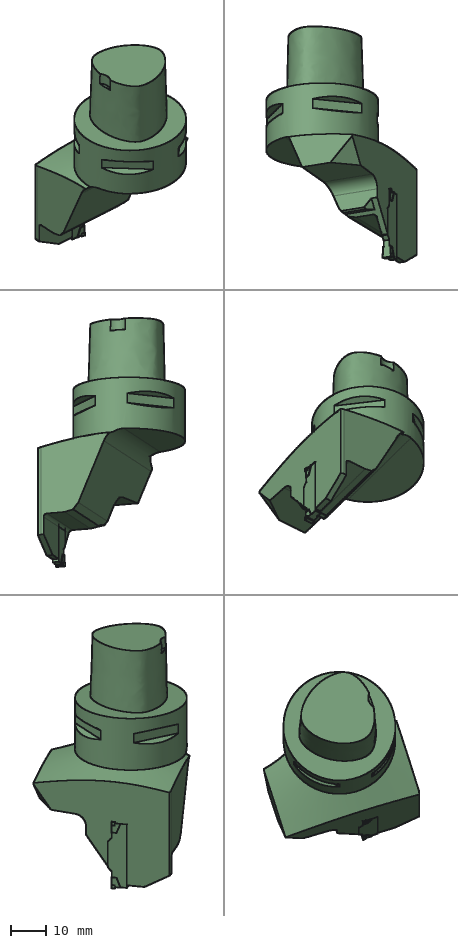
import cadquery as cq
import math


shank_length = 18.85
base_radius = 11.005
base_lobe = 0.86
top_radius = 10.5
top_lobe = 0.75
section_points = 24
key_radius = 3.485
key_depth = 3.3
key_bottom_y = -8.8

flange_radius = 16.0
flange_bottom = -15.9
groove_count = 4
groove_z = -6.1
groove_floor_distance = 14.2
groove_floor_height = 2.75
groove_mouth_height = 4.4

side_x = -21.6
front_y = -17.25
back_y = 23.1
cone_angle = 15.5
clearance_z = -15.0
clearance_radius = 6.0
slope_top_x = 0.1
slope_foot = (-9.25, -36.0)
heel = (-10.8, -37.95)
heel_start_x = -13.3
head_bottom = -38.5
blade_thickness = 1.85
blade_inner_x = side_x + blade_thickness
blade_bottom = -48.9
root_radius = 1.0
back_bottom = -27.6
step_y = 7.6
step_top = -28.7
step_radius = 3.485
step_foot_z = -36.9
step_foot_y = 7.05
step_bottom = -37.4
blade_edge_top = -34.6
blade_edge_foot = (1.1, -43.7)
front_bevel_top = -44.6
front_bevel_foot_y = -9.65
edge_break_x = 0.9
edge_break_y = 0.2
bevel_tilt = 60
upper_bevel = ((23.1, -20.6), (17.9, -27.95))
lower_bevel = ((step_y, blade_edge_top), blade_edge_foot)

insert_middle = -39.95
insert_half_length = 10.2
insert_front_y = -4.5
insert_back_y = 0.0
insert_belly_y = 1.1
belly_half_height = 4.0
notch_half_height = 5.2
end_relief = 0.4
lip_depth = 1.05
edge_overhang = 0.4
edge_height = 1.05
pad_overhang = 0.2
pad_height = 3.3
pad_short_y = -1.45
pad_long_y = -2.6

far = 41.4


def lobed_section(radius, lobe):
    """Points of a constant-width three-lobed curve with one lobe on +Y."""
    points = []
    for i in range(section_points):
        angle = 2 * math.pi * i / section_points
        phase = 3 * (angle - math.pi / 2)
        reach = radius + lobe * math.cos(phase)
        slope = -3 * lobe * math.sin(phase)
        points.append((
            reach * math.cos(angle) - slope * math.sin(angle),
            reach * math.sin(angle) + slope * math.cos(angle),
        ))
    return points


def make_shank():
    shank = (
        cq.Workplane("XY")
        .spline(lobed_section(base_radius, base_lobe), periodic=True).close()
        .workplane(offset=shank_length)
        .spline(lobed_section(top_radius, top_lobe), periodic=True).close()
        .loft(ruled=True)
    )
    key = (
        cq.Workplane("XY", origin=(0, key_bottom_y - key_radius, shank_length - key_depth))
        .circle(key_radius).extrude(key_depth)
    )
    return shank.cut(key)


def make_groove(angle):
    """Gripper groove with sloping walls and a flat floor, cut straight across the rim."""
    wall_slope = (groove_mouth_height - groove_floor_height) / (2 * (flange_radius - groove_floor_distance))
    outer = flange_radius + 0.7
    floor_half = groove_floor_height / 2
    outer_half = floor_half + wall_slope * (outer - groove_floor_distance)
    return (
        cq.Workplane("XZ")
        .polyline([
            (groove_floor_distance, groove_z - floor_half),
            (outer, groove_z - outer_half),
            (outer, groove_z + outer_half),
            (groove_floor_distance, groove_z + floor_half),
        ]).close()
        .extrude(flange_radius, both=True)
        .rotate((0, 0, 0), (0, 0, 1), angle)
    )


def make_flange():
    flange = cq.Workplane("XY").circle(flange_radius).extrude(flange_bottom)
    for i in range(groove_count):
        flange = flange.cut(make_groove((i + 0.5) * 360 / groove_count))
    return flange


def front_outline():
    """Outline in XZ shared by flange and head, with the rounded clearance at +X."""
    rise = math.atan2(clearance_z - slope_foot[1], slope_top_x - slope_foot[0])
    tangent = clearance_radius * math.tan(rise / 2)
    arc_middle = (
        slope_top_x + tangent - clearance_radius * math.sin(rise / 2),
        clearance_z - clearance_radius * (1 - math.cos(rise / 2)),
    )
    root_middle = root_radius * (1 - math.sqrt(0.5))
    return (
        cq.Workplane("XZ")
        .moveTo(side_x, 0)
        .lineTo(far, 0)
        .lineTo(far, clearance_z)
        .lineTo(slope_top_x + tangent, clearance_z)
        .threePointArc(
            arc_middle,
            (slope_top_x - tangent * math.cos(rise), clearance_z - tangent * math.sin(rise)),
        )
        .lineTo(*slope_foot)
        .lineTo(*heel)
        .lineTo(heel_start_x, head_bottom)
        .lineTo(blade_inner_x + root_radius, head_bottom)
        .threePointArc(
            (blade_inner_x + root_middle, head_bottom - root_middle),
            (blade_inner_x, head_bottom - root_radius),
        )
        .lineTo(blade_inner_x, blade_bottom)
        .lineTo(side_x, blade_bottom)
        .close()
        .extrude(far, both=True)
    )


def side_outline():
    """Head outline in YZ: overhang at the back, stepped and tapering to the blade."""
    (edge_y, edge_z), (foot_y, foot_z) = lower_bevel
    blade_edge_y = edge_y + (foot_y - edge_y) * (step_bottom - edge_z) / (foot_z - edge_z)
    return (
        cq.Workplane("YZ", origin=(side_x, 0, 0))
        .polyline([
            (front_y, 0),
            (back_y, 0),
            (back_y, back_bottom),
            (step_y, step_top),
            (step_y, step_foot_z),
            (step_foot_y, step_bottom),
            (blade_edge_y, step_bottom),
            blade_edge_foot,
            (insert_back_y, blade_edge_foot[1]),
            (insert_back_y, blade_bottom),
            (front_bevel_foot_y, blade_bottom),
            (front_y, front_bevel_top),
        ]).close()
        .extrude(far)
        .edges(cq.selectors.NearestToPointSelector((side_x + far / 2, step_y, step_top)))
        .fillet(step_radius)
    )


def cone_cover():
    """Everything below the shallow cone that spreads out from the flange."""
    drop = far * math.tan(math.radians(cone_angle))
    return (
        cq.Workplane("XZ")
        .polyline([
            (0, flange_bottom),
            (flange_radius, flange_bottom),
            (flange_radius + far, flange_bottom - drop),
            (flange_radius + far, -2 * far),
            (0, -2 * far),
        ]).close()
        .revolve(360, (0, 0), (0, 1))
    )


def slanted_bevel(line, start_x):
    """Material beyond a line at start_x, leaning away from the side face by bevel_tilt."""
    (y1, z1), (y2, z2) = line
    plane = cq.Plane(origin=(start_x, y1, z1), xDir=(0, y2 - y1, z2 - z1), normal=(-1, 0, 0))
    wedge = cq.Workplane(plane).rect(2 * far, far).extrude(far)
    return wedge.rotate((start_x, y1, z1), (start_x, y2, z2), bevel_tilt)


def blade_back_cut():
    """Straight cut along the back edge of the blade, through the blade thickness only."""
    return (
        cq.Workplane("YZ", origin=(side_x, 0, 0))
        .polyline([
            (step_y, blade_edge_top),
            blade_edge_foot,
            (step_y, blade_edge_foot[1]),
        ]).close()
        .extrude(blade_thickness)
    )


def front_edge_break():
    return (
        cq.Workplane("XY")
        .polyline([
            (side_x, front_y),
            (side_x + edge_break_x, front_y),
            (side_x, front_y + edge_break_y),
        ]).close()
        .extrude(blade_bottom)
    )


def make_head():
    head = side_outline().intersect(cone_cover())
    head = head.cut(blade_back_cut()).cut(front_edge_break())
    head = head.cut(slanted_bevel(upper_bevel, side_x))
    behind_blade = (
        cq.Workplane("XY", origin=(blade_inner_x, step_y, 0))
        .box(far, far, 2 * far, centered=(False, False, True))
        .translate((0, -far, 0))
    )
    return head.cut(slanted_bevel(lower_bevel, blade_inner_x).intersect(behind_blade))


def insert_end():
    """Widened cutting end of the insert, at the bottom."""
    bottom = insert_middle - insert_half_length
    pad = (
        cq.Workplane("YZ", origin=(side_x - pad_overhang, 0, 0))
        .polyline([
            (insert_back_y, bottom),
            (insert_back_y, bottom + pad_height),
            (pad_short_y, bottom + pad_height),
            (pad_long_y, bottom + end_relief),
            (-lip_depth, bottom + end_relief),
            (-lip_depth, bottom),
        ]).close()
        .extrude(blade_thickness + 2 * pad_overhang)
    )
    lip = (
        cq.Workplane("XY", origin=(0, 0, bottom))
        .polyline([
            (side_x - edge_overhang, insert_back_y),
            (blade_inner_x + edge_overhang, insert_back_y),
            (blade_inner_x + pad_overhang, -lip_depth),
            (side_x - pad_overhang, -lip_depth),
        ]).close()
        .extrude(edge_height)
    )
    return pad.union(lip)


def make_insert():
    half = insert_half_length - end_relief
    core = (
        cq.Workplane("YZ", origin=(side_x, 0, insert_middle))
        .polyline([
            (insert_front_y, -half),
            (insert_back_y, -half),
            (insert_back_y, -notch_half_height),
            (insert_belly_y, -belly_half_height),
            (insert_belly_y, belly_half_height),
            (insert_back_y, notch_half_height),
            (insert_back_y, half),
            (insert_front_y, half),
        ]).close()
        .extrude(blade_thickness)
    )
    end = insert_end()
    return core.union(end).union(end.mirror("XY", (0, 0, insert_middle)))


def make_holder(insert):
    """Shank, flange and head in one piece, with a pocket that matches the insert."""
    body = make_flange().union(make_head()).intersect(front_outline())
    return body.union(make_shank()).cut(insert)


insert = make_insert()
holder = make_holder(insert)
result = cq.Compound.makeCompound([holder.val(), insert.val()])